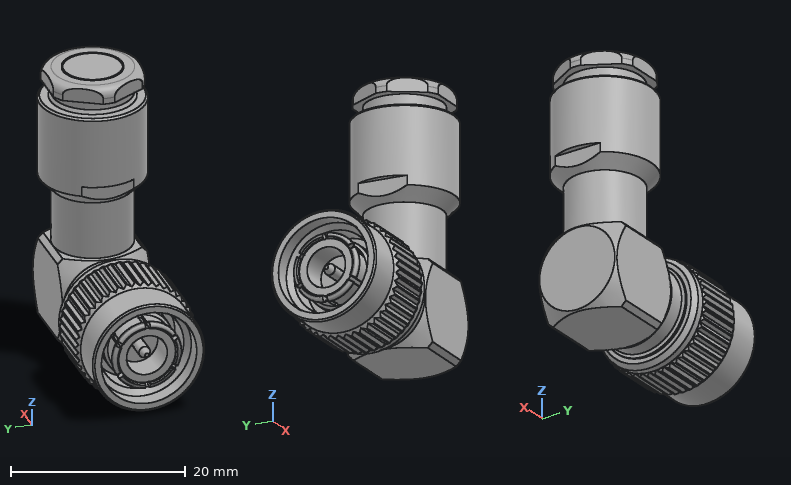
import cadquery as cq
import math


NUT_FRONT_X = -20.55
KNURL_START_X = -16.03
KNURL_END_X = -9.6
COLLAR_END_X = -8.68
STEP_X = -8.12
NUT_END_X = -7.85
NUT_RADIUS = 13.5 / 2
NUT_FRONT_CHAMFER = 0.2
KNURL_RADIUS = 14.5 / 2
COLLAR_RADIUS = 13.9 / 2
COLLAR_CHAMFER_RADIUS = 12.7 / 2
STEP_RADIUS = 11.5 / 2

MOUTH_RADIUS = 11.5 / 2
BORE_RADIUS = 10.15 / 2
MOUTH_DEPTH = 2.0
CAVITY_FLOOR_X = -14.65

GROOVE_COUNT = 44
GROOVE_WIDTH = 0.95

SLEEVE_TIP_X = -20.15
SLEEVE_RADIUS = 8.3 / 2
SLEEVE_TIP_FILLET = 0.4
SLEEVE_LIP_LENGTH = 0.25
SLEEVE_WAIST_RADIUS = 7.6 / 2
SLEEVE_ROOT_RADIUS = 8.35 / 2
SLEEVE_BORE_CHAMFER = 0.17
SLOT_COUNT = 6
SLOT_WIDTH = 0.55
SLOT_LENGTH = 3.15
INSULATOR_RADIUS = 6.9 / 2
INSULATOR_HOLE_RADIUS = 4.9 / 2
INSULATOR_FRONT_X = -19.8
INSULATOR_HOLE_DEPTH = 3.5
PIN_RADIUS = 1.35 / 2
PIN_TIP_RADIUS = 0.25
PIN_TIP_X = -19.8
PIN_TIP_LENGTH = 0.87

NECK_RADIUS = 8.8 / 2
HUB_RADIUS = 10.85 / 2
HUB_START_X = -7.55
BLOCK_START_X = -5.58
BLOCK_END_X = 5.6
BLOCK_HALF_WIDTH = HUB_RADIUS
BLOCK_EDGE_CHAMFER = 0.63
BLOCK_CONE_INSET = 0.17

TOP_Z = 27.6
COLUMN_RADIUS = 9.6 / 2
CLAMP_BOTTOM_Z = 12.5
CLAMP_TOP_Z = 23.95
CLAMP_RADIUS = 12.7 / 2
CLAMP_TOP_CHAMFER = 0.25
CLAMP_FLAT_TOP_Z = 15.23
SHOULDER_RADIUS = 10.18 / 2
SHOULDER_TOP_Z = 24.4
WRENCH_WIDTH = 11.0

CAP_BOTTOM_Z = 25.65
CAP_RADIUS = 12.0 / 2
CABLE_RADIUS = 6.9 / 2
CABLE_HOLE_RADIUS = 7.1 / 2
CABLE_GAP_DEPTH = 0.1


def turned_on_x(profile):
    """Turn a closed outline of (x, radius) points about the X axis."""
    return cq.Workplane("XY").polyline(profile).close().revolve(360, (0, 0, 0), (1, 0, 0))


def rod_on_x(start, end, radius):
    """Round bar on the X axis."""
    return cq.Workplane("YZ", origin=(start, 0, 0)).circle(radius).extrude(end - start)


def rod_on_z(bottom, top, radius):
    """Round bar on the Z axis."""
    return cq.Workplane("XY", origin=(0, 0, bottom)).circle(radius).extrude(top - bottom)


def knurl_groove(angle):
    """V-groove along the knurl, cut down to the collar and carried on to twice that depth outside."""
    depth = KNURL_RADIUS - COLLAR_RADIUS
    outer_radius = COLLAR_RADIUS + 2 * depth
    outline = [
        (0, COLLAR_RADIUS),
        (GROOVE_WIDTH, outer_radius),
        (-GROOVE_WIDTH, outer_radius),
    ]
    groove = cq.Workplane("YZ", origin=(KNURL_START_X, 0, 0)).polyline(outline).close()
    return groove.extrude(KNURL_END_X - KNURL_START_X).rotate((0, 0, 0), (1, 0, 0), angle)


def coupling_nut():
    knurl_start_chamfer = KNURL_RADIUS - NUT_RADIUS
    knurl_end_chamfer = KNURL_RADIUS - COLLAR_RADIUS
    mouth_end_x = NUT_FRONT_X + MOUTH_DEPTH
    nut = turned_on_x([
        (CAVITY_FLOOR_X, 0),
        (CAVITY_FLOOR_X, BORE_RADIUS),
        (mouth_end_x + MOUTH_RADIUS - BORE_RADIUS, BORE_RADIUS),
        (mouth_end_x, MOUTH_RADIUS),
        (NUT_FRONT_X, MOUTH_RADIUS),
        (NUT_FRONT_X, NUT_RADIUS - NUT_FRONT_CHAMFER),
        (NUT_FRONT_X + NUT_FRONT_CHAMFER, NUT_RADIUS),
        (KNURL_START_X, NUT_RADIUS),
        (KNURL_START_X + knurl_start_chamfer, KNURL_RADIUS),
        (KNURL_END_X - knurl_end_chamfer, KNURL_RADIUS),
        (KNURL_END_X, COLLAR_RADIUS),
        (COLLAR_END_X, COLLAR_RADIUS),
        (STEP_X, COLLAR_CHAMFER_RADIUS),
        (STEP_X, STEP_RADIUS),
        (NUT_END_X, STEP_RADIUS),
        (NUT_END_X, 0),
    ])
    pitch = 360 / GROOVE_COUNT
    grooves = [knurl_groove((i + 0.5) * pitch).val() for i in range(GROOVE_COUNT)]
    return nut.cut(cq.Workplane(cq.Compound.makeCompound(grooves)))


def contact_sleeve():
    lip_start_x = SLEEVE_TIP_X + SLEEVE_TIP_FILLET
    lip_end_x = lip_start_x + SLEEVE_LIP_LENGTH
    slot_end_x = SLEEVE_TIP_X + SLOT_LENGTH
    tip_radius = SLEEVE_RADIUS - SLEEVE_TIP_FILLET
    fillet_inset = SLEEVE_TIP_FILLET * (1 - math.sqrt(0.5))
    mouth_radius = INSULATOR_RADIUS + SLEEVE_BORE_CHAMFER
    sleeve = (
        cq.Workplane("XY")
        .moveTo(SLEEVE_TIP_X, mouth_radius)
        .lineTo(SLEEVE_TIP_X, tip_radius)
        .threePointArc(
            (SLEEVE_TIP_X + fillet_inset, SLEEVE_RADIUS - fillet_inset),
            (lip_start_x, SLEEVE_RADIUS),
        )
        .lineTo(lip_end_x, SLEEVE_RADIUS)
        .lineTo(lip_end_x + SLEEVE_RADIUS - SLEEVE_WAIST_RADIUS, SLEEVE_WAIST_RADIUS)
        .lineTo(slot_end_x, SLEEVE_WAIST_RADIUS)
        .lineTo(slot_end_x + SLEEVE_ROOT_RADIUS - SLEEVE_WAIST_RADIUS, SLEEVE_ROOT_RADIUS)
        .lineTo(CAVITY_FLOOR_X, SLEEVE_ROOT_RADIUS)
        .lineTo(CAVITY_FLOOR_X, INSULATOR_RADIUS)
        .lineTo(SLEEVE_TIP_X + SLEEVE_BORE_CHAMFER, INSULATOR_RADIUS)
        .close()
        .revolve(360, (0, 0, 0), (1, 0, 0))
    )
    slot = (
        cq.Workplane("XY")
        .box(SLOT_LENGTH, SLOT_WIDTH, SLEEVE_ROOT_RADIUS, centered=(False, True, False))
        .translate((SLEEVE_TIP_X, 0, 0))
    )
    for i in range(SLOT_COUNT):
        sleeve = sleeve.cut(slot.rotate((0, 0, 0), (1, 0, 0), i * 360 / SLOT_COUNT))
    return sleeve


def insulator_and_pin():
    hole_floor_x = INSULATOR_FRONT_X + INSULATOR_HOLE_DEPTH
    insulator = rod_on_x(INSULATOR_FRONT_X, CAVITY_FLOOR_X, INSULATOR_RADIUS)
    insulator = insulator.cut(rod_on_x(INSULATOR_FRONT_X, hole_floor_x, INSULATOR_HOLE_RADIUS))
    pin = turned_on_x([
        (PIN_TIP_X, 0),
        (PIN_TIP_X, PIN_TIP_RADIUS),
        (PIN_TIP_X + PIN_TIP_LENGTH, PIN_RADIUS),
        (CAVITY_FLOOR_X, PIN_RADIUS),
        (CAVITY_FLOOR_X, 0),
    ])
    return insulator.union(pin)


def elbow_block():
    width = 2 * BLOCK_HALF_WIDTH
    length = BLOCK_END_X - BLOCK_START_X
    block = cq.Workplane("XY").box(length, width, width, centered=(False, True, True))
    block = block.translate((BLOCK_START_X, 0, 0)).edges("|X").chamfer(BLOCK_EDGE_CHAMFER)
    end_radius = BLOCK_HALF_WIDTH - BLOCK_CONE_INSET
    corner_radius = BLOCK_HALF_WIDTH * math.sqrt(2)
    cone_length = corner_radius - end_radius
    envelope = turned_on_x([
        (BLOCK_START_X, 0),
        (BLOCK_START_X, end_radius),
        (BLOCK_START_X + cone_length, corner_radius),
        (BLOCK_END_X - cone_length, corner_radius),
        (BLOCK_END_X, end_radius),
        (BLOCK_END_X, 0),
    ])
    hub = rod_on_x(HUB_START_X, BLOCK_START_X, HUB_RADIUS)
    neck = rod_on_x(NUT_END_X, HUB_START_X, NECK_RADIUS)
    return block.intersect(envelope).union(hub).union(neck)


def cable_column():
    clamp_cone = CLAMP_RADIUS - COLUMN_RADIUS
    column = (
        cq.Workplane("XZ")
        .polyline([
            (0, 0),
            (COLUMN_RADIUS, 0),
            (COLUMN_RADIUS, CLAMP_BOTTOM_Z),
            (CLAMP_RADIUS, CLAMP_BOTTOM_Z + clamp_cone),
            (CLAMP_RADIUS, CLAMP_TOP_Z - CLAMP_TOP_CHAMFER),
            (CLAMP_RADIUS - CLAMP_TOP_CHAMFER, CLAMP_TOP_Z),
            (SHOULDER_RADIUS, CLAMP_TOP_Z),
            (COLUMN_RADIUS, SHOULDER_TOP_Z),
            (COLUMN_RADIUS, CAP_BOTTOM_Z),
            (0, CAP_BOTTOM_Z),
        ])
        .close()
        .revolve(360, (0, 0, 0), (0, 1, 0))
    )
    flat_height = CLAMP_FLAT_TOP_Z - CLAMP_BOTTOM_Z
    for side in (-1, 1):
        flat_cut = cq.Workplane("XY").box(
            WRENCH_WIDTH, 2 * CLAMP_RADIUS, flat_height, centered=(True, True, False)
        )
        column = column.cut(flat_cut.translate((side * WRENCH_WIDTH, 0, CLAMP_BOTTOM_Z)))
    return column


def cap_nut():
    height = TOP_Z - CAP_BOTTOM_Z
    cap = rod_on_z(CAP_BOTTOM_Z, TOP_Z, CAP_RADIUS)
    cap = cap.faces(">Z").edges().fillet(CAP_RADIUS - COLUMN_RADIUS)
    hexagon = (
        cq.Workplane("XY", origin=(0, 0, CAP_BOTTOM_Z))
        .polygon(6, WRENCH_WIDTH / math.cos(math.pi / 6))
        .extrude(height)
    )
    cap = cap.intersect(hexagon)
    gap_floor_z = TOP_Z - CABLE_GAP_DEPTH
    gap = rod_on_z(gap_floor_z, TOP_Z, CABLE_HOLE_RADIUS).cut(rod_on_z(gap_floor_z, TOP_Z, CABLE_RADIUS))
    return cap.cut(gap)


result = (
    coupling_nut()
    .union(contact_sleeve())
    .union(insulator_and_pin())
    .union(elbow_block())
    .union(cable_column())
    .union(cap_nut())
)